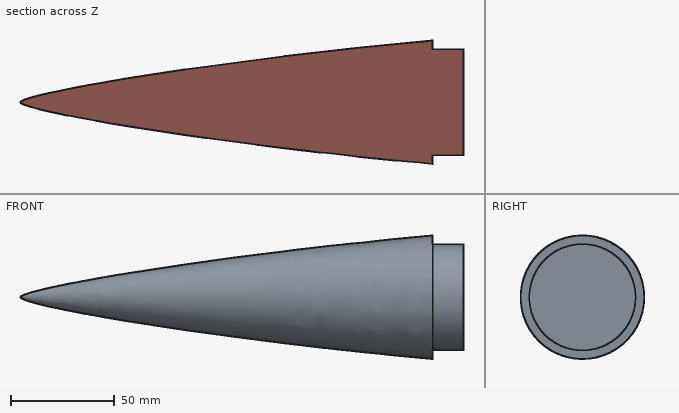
import cadquery as cq

CONE_LENGTH = 200.0
BASE_RADIUS = 30.05

TIP_POLE = (0.0, 4.1)
BODY_POLE = (91.0, 20.2)

SHOULDER_RADIUS = 25.8
SHOULDER_LENGTH = 15.0


def make_cone():
    """Solid of revolution with a curved outline from the tip to the flat base."""
    tip = (0, 0)
    base_rim = (CONE_LENGTH, BASE_RADIUS)
    outline = (
        cq.Workplane("XY")
        .bezier([tip, TIP_POLE, BODY_POLE, base_rim])
        .lineTo(CONE_LENGTH, 0)
        .close()
    )
    return outline.revolve(360, (0, 0, 0), (1, 0, 0))


def make_shoulder():
    """Smaller cylinder standing on the base of the cone."""
    base_plane = cq.Workplane("YZ", origin=(CONE_LENGTH, 0, 0))
    return base_plane.circle(SHOULDER_RADIUS).extrude(SHOULDER_LENGTH)


result = make_cone().union(make_shoulder())